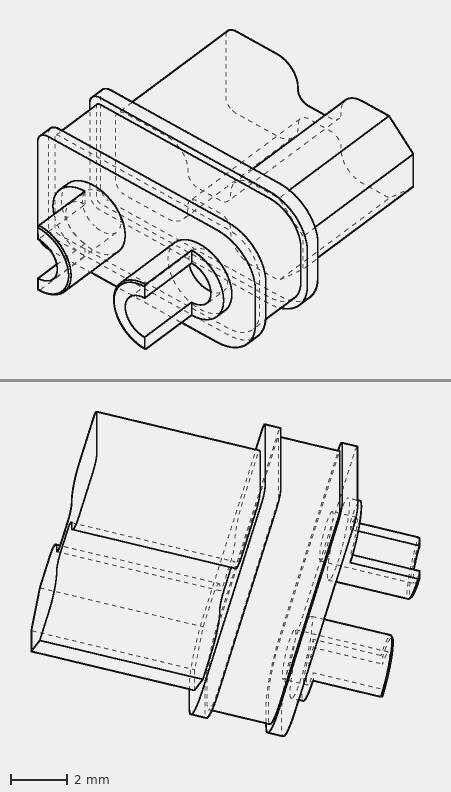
import cadquery as cq

TOTAL_LENGTH = 12.4
CUP_LENGTH = 3.0
HOUSING_LENGTH = 6.0
BODY_LENGTH = TOTAL_LENGTH - CUP_LENGTH - HOUSING_LENGTH

FLANGE_WIDTH = 10.2
FLANGE_HEIGHT = 5.2
FLANGE_THICKNESS = 0.57
FLANGE_SMALL_RADIUS = 0.5
FLANGE_LARGE_RADIUS = 1.8
WAIST_INSET = 0.31

HOUSING_WIDTH = 8.8
HOUSING_HEIGHT = 3.8
HOUSING_RADIUS = 0.5
HOUSING_CHAMFER = 1.14
GROOVE_RIM_RADIUS = 0.99
GROOVE_ROOT_RADIUS = 0.5
GROOVE_FLOOR_WIDTH = 1.02
GROOVE_DEPTH = 1.6

CUP_SPACING = 5.0
CUP_RADIUS = 1.5
CUP_BORE_RADIUS = 0.9
CUP_BORE_DEPTH = 3.45
COLLAR_LENGTH = 0.45
CUP_TIP_CHAMFER = 0.06


def rounded_plate(inset, start, length):
    """Plate in XZ with small corners on -X and large corners on +X, shrunk evenly by inset."""
    return (
        cq.Workplane("XZ", origin=(0, start, 0))
        .rect(FLANGE_WIDTH - 2 * inset, FLANGE_HEIGHT - 2 * inset)
        .extrude(-length)
        .edges("|Y and <X")
        .fillet(FLANGE_SMALL_RADIUS - inset)
        .edges("|Y and >X")
        .fillet(FLANGE_LARGE_RADIUS - inset)
    )


def flanged_body():
    """Waisted block between a front and a rear flange."""
    body = rounded_plate(WAIST_INSET, 0, BODY_LENGTH)
    for start in (0, BODY_LENGTH - FLANGE_THICKNESS):
        body = body.union(rounded_plate(0, start, FLANGE_THICKNESS))
    return body


def groove():
    """Lengthwise groove in the top of the housing, with rolled rims and rounded roots."""
    top = HOUSING_HEIGHT / 2
    floor = top - GROOVE_DEPTH
    floor_x = GROOVE_FLOOR_WIDTH / 2
    wall_x = floor_x + GROOVE_ROOT_RADIUS
    rim_x = wall_x + GROOVE_RIM_RADIUS
    wall_top = top - GROOVE_RIM_RADIUS
    wall_bottom = floor + GROOVE_ROOT_RADIUS
    return (
        cq.Workplane("XZ", origin=(0, BODY_LENGTH, 0))
        .moveTo(-rim_x, top)
        .radiusArc((-wall_x, wall_top), GROOVE_RIM_RADIUS)
        .lineTo(-wall_x, wall_bottom)
        .radiusArc((-floor_x, floor), -GROOVE_ROOT_RADIUS)
        .lineTo(floor_x, floor)
        .radiusArc((wall_x, wall_bottom), -GROOVE_ROOT_RADIUS)
        .lineTo(wall_x, wall_top)
        .radiusArc((rim_x, top), GROOVE_RIM_RADIUS)
        .close()
        .extrude(-HOUSING_LENGTH)
    )


def housing():
    """Mating housing, rounded on -X, chamfered on +X, grooved above and below."""
    block = (
        cq.Workplane("XZ", origin=(0, BODY_LENGTH, 0))
        .rect(HOUSING_WIDTH, HOUSING_HEIGHT)
        .extrude(-HOUSING_LENGTH)
        .edges("|Y and <X")
        .fillet(HOUSING_RADIUS)
        .edges("|Y and >X")
        .chamfer(HOUSING_CHAMFER)
    )
    top_groove = groove()
    return block.cut(top_groove).cut(top_groove.mirror("XY"))


def cup_bore(side):
    """Blind bore entering the cup from its tip and ending inside the body."""
    return (
        cq.Workplane("XZ", origin=(side * CUP_SPACING / 2, -CUP_LENGTH, 0))
        .circle(CUP_BORE_RADIUS)
        .extrude(-CUP_BORE_DEPTH)
    )


def solder_cup(side):
    """Solid pin at side * CUP_SPACING / 2, its outer half cut away beyond the collar."""
    front = cq.Workplane("XZ", origin=(side * CUP_SPACING / 2, 0, 0))
    pin = front.circle(CUP_RADIUS).extrude(CUP_LENGTH).faces("<Y").chamfer(CUP_TIP_CHAMFER)
    opening = (
        front.workplane(offset=COLLAR_LENGTH)
        .center(side * CUP_RADIUS, 0)
        .rect(2 * CUP_RADIUS, 2 * CUP_RADIUS)
        .extrude(CUP_LENGTH - COLLAR_LENGTH)
    )
    return pin.cut(opening)


result = flanged_body().union(housing())
for side in (-1, 1):
    result = result.union(solder_cup(side)).cut(cup_bore(side))